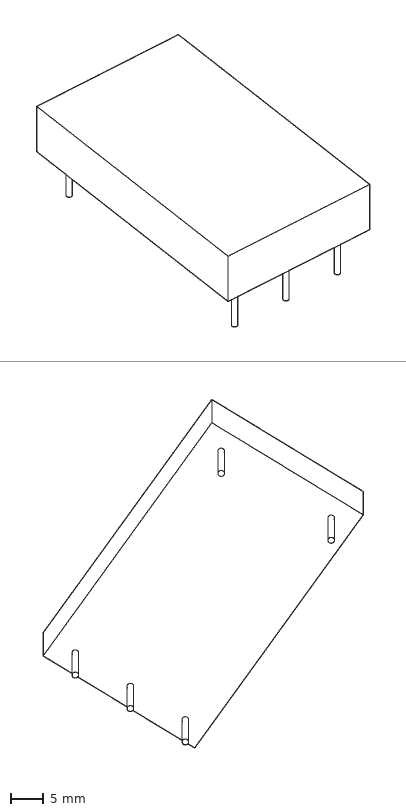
import cadquery as cq

housing_length = 47.0
housing_width = 28.0
overall_height = 17.6
pin_length = 8.6
housing_height = overall_height - pin_length

pin_diameter = 1.0
pin_row_x = 20.32
pin_pitch_y = 10.16

pin_positions = [
    (-pin_row_x, -pin_pitch_y),
    (-pin_row_x, pin_pitch_y),
    (pin_row_x, -pin_pitch_y),
    (pin_row_x, 0),
    (pin_row_x, pin_pitch_y),
]


def make_housing():
    """Plain rectangular block with its underside on Z = 0."""
    return cq.Workplane("XY").box(
        housing_length, housing_width, housing_height, centered=(True, True, False)
    )


def make_pin(x, y):
    """Straight pin whose upper end touches the underside of the housing."""
    return cq.Workplane("XY").center(x, y).circle(pin_diameter / 2).extrude(-pin_length)


housing = make_housing()
pins = [make_pin(x, y) for x, y in pin_positions]

result = cq.Compound.makeCompound([housing.val(), *[pin.val() for pin in pins]])